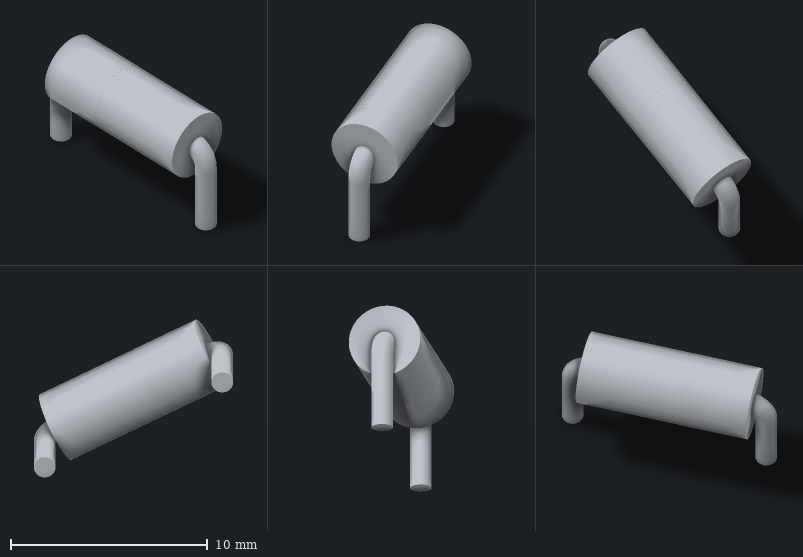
import cadquery as cq

overall_length = 11.26
body_length = 8.92
body_diameter = 3.7
band_diameter = 3.72
band_start = 1.35
band_width = 2.21
lead_diameter = 1.1
total_height = 6.71

bend_radius = lead_diameter
lead_x = (overall_length - lead_diameter) / 2
lead_bottom = band_diameter / 2 - total_height


def cylinder_along_x(start_x, length, diameter):
    return cq.Workplane("YZ", origin=(start_x, 0, 0)).circle(diameter / 2).extrude(length)


def bent_lead(side):
    """Lead on the +X (side=1) or -X (side=-1) end, rooted inside the body."""
    bend_center_x = lead_x - bend_radius
    arc_offset = bend_radius / 2**0.5
    path = (
        cq.Workplane("XZ")
        .moveTo(side * lead_x, lead_bottom)
        .lineTo(side * lead_x, -bend_radius)
        .threePointArc(
            (side * (bend_center_x + arc_offset), arc_offset - bend_radius),
            (side * bend_center_x, 0),
        )
    )
    profile = cq.Workplane("XY", origin=(side * lead_x, 0, lead_bottom)).circle(lead_diameter / 2)
    return profile.sweep(path)


body_start = -body_length / 2
body = cylinder_along_x(body_start, body_length, body_diameter)
band = cylinder_along_x(body_start + band_start, band_width, band_diameter)

result = body.union(band)
for side in (-1, 1):
    result = result.union(bent_lead(side))